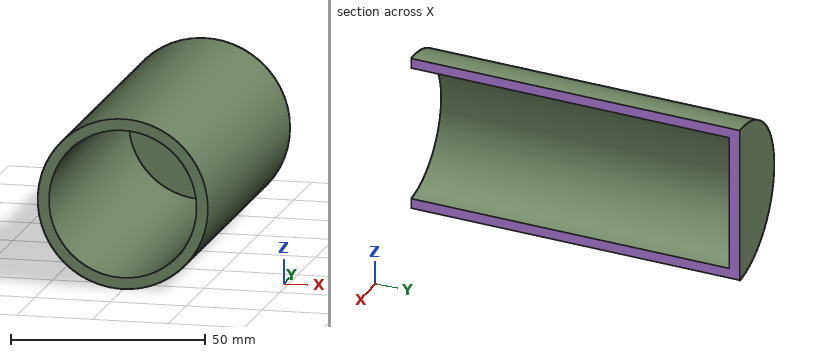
import cadquery as cq

outer_diameter = 45.0
length = 92.0
wall_thickness = 3.0
floor_thickness = wall_thickness

inner_diameter = outer_diameter - 2 * wall_thickness
bore_depth = length - floor_thickness


def cylinder_from_open_end(diameter, depth):
    """Cylinder along +Y that starts at the open end, Y = 0."""
    return cq.Workplane("XZ").circle(diameter / 2).extrude(-depth)


body = cylinder_from_open_end(outer_diameter, length)
bore = cylinder_from_open_end(inner_diameter, bore_depth)

result = body.cut(bore)